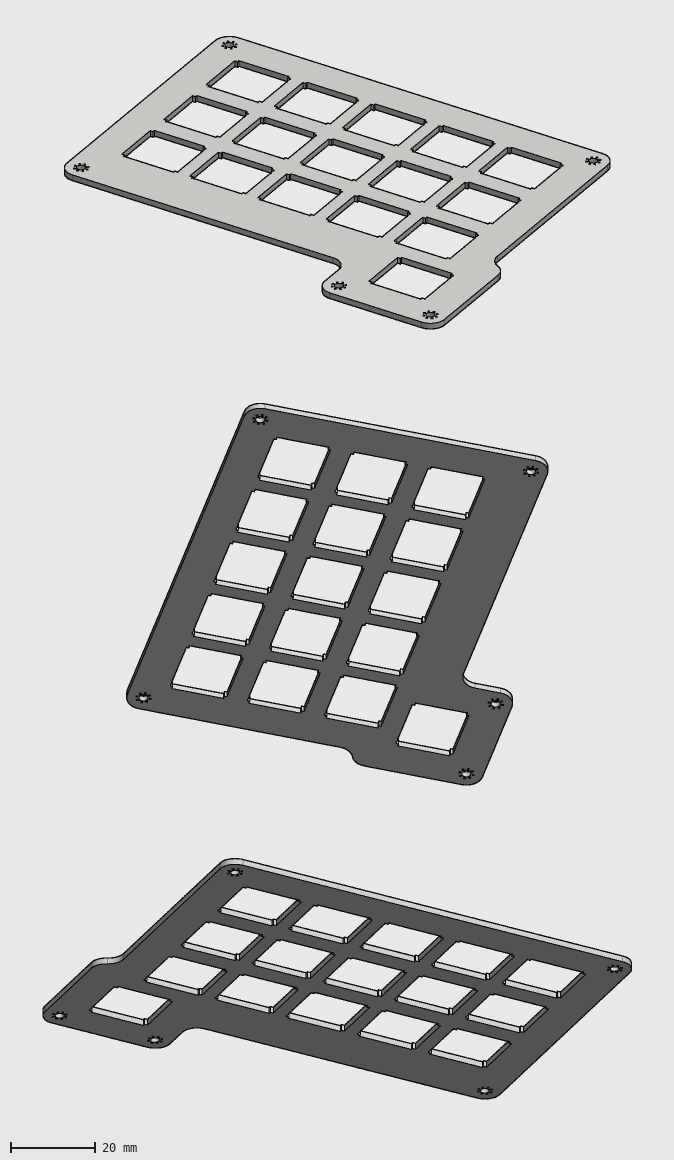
import cadquery as cq
import math

total_width = 114.51
total_depth = 89.13
thickness = 1.6
key_pitch = 19.05
columns = 5
rows = 3
corner_radius = 4.0

square_side = 14.0
wide_length = 15.6
wide_depth = 12.8

screw_diameter = 2.2
via_diameter = 0.4
via_ring_radius = 1.65
vias_per_ring = 8

thumb_shift = key_pitch / 4
main_right = total_width - thumb_shift
main_bottom = 14.25
tab_width = 33.57
tab_left = total_width - tab_width

first_column_x = 16.745
top_margin = 15.98
top_row_y = total_depth - top_margin
thumb_x = first_column_x + (columns - 1) * key_pitch + thumb_shift
thumb_y = top_row_y - rows * key_pitch

step_middle_y = 31.72
step_angle = math.acos(1 - thumb_shift / (2 * corner_radius))
step_half_height = corner_radius * math.sin(step_angle)


def arc_point(center_x, center_y, angle):
    """Point on a corner arc at the given angle in radians."""
    return (
        center_x + corner_radius * math.cos(angle),
        center_y + corner_radius * math.sin(angle),
    )


def make_plate():
    r = corner_radius
    step_top = step_middle_y + step_half_height
    step_bottom = step_middle_y - step_half_height
    step_middle = (main_right + thumb_shift / 2, step_middle_y)
    half_step = step_angle / 2
    north_east = math.radians(45)
    north_west = math.radians(135)
    south_west = math.radians(225)
    south_east = math.radians(315)
    outline = (
        cq.Workplane("XY")
        .moveTo(r, total_depth)
        .lineTo(main_right - r, total_depth)
        .threePointArc(arc_point(main_right - r, total_depth - r, north_east), (main_right, total_depth - r))
        .lineTo(main_right, step_top)
        .threePointArc(arc_point(main_right + r, step_top, math.pi + half_step), step_middle)
        .threePointArc(arc_point(total_width - r, step_bottom, half_step), (total_width, step_bottom))
        .lineTo(total_width, r)
        .threePointArc(arc_point(total_width - r, r, south_east), (total_width - r, 0))
        .lineTo(tab_left + r, 0)
        .threePointArc(arc_point(tab_left + r, r, south_west), (tab_left, r))
        .lineTo(tab_left, main_bottom - r)
        .threePointArc(arc_point(tab_left - r, main_bottom - r, north_east), (tab_left - r, main_bottom))
        .lineTo(r, main_bottom)
        .threePointArc(arc_point(r, main_bottom + r, south_west), (0, main_bottom + r))
        .lineTo(0, total_depth - r)
        .threePointArc(arc_point(r, total_depth - r, north_west), (r, total_depth))
        .close()
    )
    return outline.extrude(thickness)


def key_centers():
    centers = [(thumb_x, thumb_y)]
    for column in range(columns):
        for row in range(rows):
            centers.append((first_column_x + column * key_pitch, top_row_y - row * key_pitch))
    return centers


def cut_switch_openings(plate):
    layout = cq.Workplane("XY").pushPoints(key_centers())
    square_openings = layout.rect(square_side, square_side).extrude(thickness)
    wide_openings = layout.rect(wide_length, wide_depth).extrude(thickness)
    return plate.cut(square_openings).cut(wide_openings)


def cut_mounting_holes(plate):
    inset = corner_radius
    screw_centers = [
        (inset, total_depth - inset),
        (main_right - inset, total_depth - inset),
        (inset, main_bottom + inset),
        (tab_left + inset, inset),
        (total_width - inset, inset),
    ]
    via_centers = []
    for center_x, center_y in screw_centers:
        for index in range(vias_per_ring):
            angle = 2 * math.pi * index / vias_per_ring
            via_x = center_x + via_ring_radius * math.cos(angle)
            via_y = center_y + via_ring_radius * math.sin(angle)
            via_centers.append((via_x, via_y))
    screw_holes = cq.Workplane("XY").pushPoints(screw_centers).circle(screw_diameter / 2).extrude(thickness)
    vias = cq.Workplane("XY").pushPoints(via_centers).circle(via_diameter / 2).extrude(thickness)
    return plate.cut(screw_holes).cut(vias)


result = cut_mounting_holes(cut_switch_openings(make_plate()))